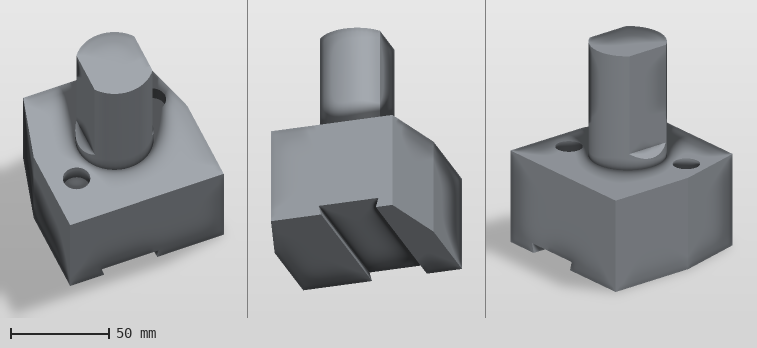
import cadquery as cq
import math

base_size = 85.0
base_height = 50.5
taper_angle = math.radians(15.0)
taper_inset = 10.0
taper_length = taper_inset / math.tan(taper_angle)

shank_diameter = 40.0
shank_length = 63.0
across_flats = 32.0
flat_runout_start = 5.0
flat_depth = (shank_diameter - across_flats) / 2

hole_diameter = 14.0
hole_depth = 8.0
hole_circle_radius = 32.0
hole_angles = (120.0, 300.0)

slot_depth = 5.0
slot_width = 32.0
slot_center_y = -9.0
slot_wall_angle = math.radians(15.0)
slot_undercut = slot_depth * math.tan(slot_wall_angle)


def make_base():
    """Square block whose two sides taper in towards the -X face."""
    half = base_size / 2
    outline = [
        (half, -half),
        (half, half),
        (-half + taper_length, half),
        (-half, half - taper_inset),
        (-half, -half + taper_inset),
        (-half + taper_length, -half),
    ]
    return cq.Workplane("XY").polyline(outline).close().extrude(base_height)


def make_shank():
    """Round shank cut to a stepped profile in Y, leaving flats with sloping run-outs."""
    shank = cq.Workplane("XY").circle(shank_diameter / 2).extrude(shank_length)
    radius = shank_diameter / 2
    half_flats = across_flats / 2
    flat_start = flat_runout_start + flat_depth
    profile = [
        (-radius, 0),
        (radius, 0),
        (radius, flat_runout_start),
        (half_flats, flat_start),
        (half_flats, shank_length),
        (-half_flats, shank_length),
        (-half_flats, flat_start),
        (-radius, flat_runout_start),
    ]
    envelope = cq.Workplane("YZ").polyline(profile).close().extrude(radius, both=True)
    return shank.intersect(envelope).translate((0, 0, base_height))


def make_holes():
    """Flat-bottomed cylinders sunk from the top of the base."""
    centers = [
        (
            hole_circle_radius * math.cos(math.radians(angle)),
            hole_circle_radius * math.sin(math.radians(angle)),
        )
        for angle in hole_angles
    ]
    top = cq.Workplane("XY").workplane(offset=base_height)
    return top.pushPoints(centers).circle(hole_diameter / 2).extrude(-hole_depth)


def make_slot():
    """Dovetail prism, wider at its roof than at its mouth, running the full length in X."""
    half_roof = slot_width / 2
    half_mouth = half_roof - slot_undercut
    profile = [
        (slot_center_y - half_mouth, 0),
        (slot_center_y + half_mouth, 0),
        (slot_center_y + half_roof, slot_depth),
        (slot_center_y - half_roof, slot_depth),
    ]
    return cq.Workplane("YZ").polyline(profile).close().extrude(base_size / 2, both=True)


result = make_base().union(make_shank()).cut(make_holes()).cut(make_slot())